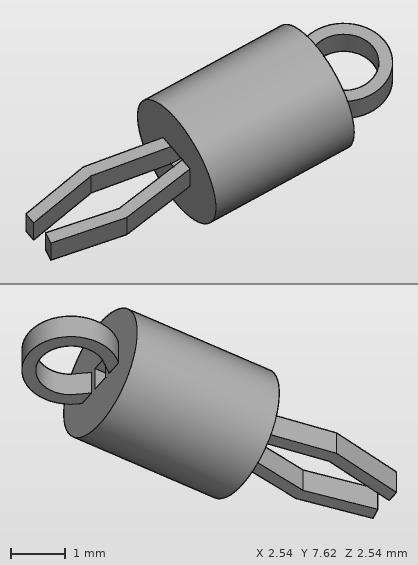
import cadquery as cq
import math

body_diameter = 2.54
body_length = 3.05
back_y = body_length / 2
front_y = -body_length / 2

strip_width = 0.25
strip_height = 0.52

eyelet_rise = 1.525
eyelet_outer_radius = 0.89
eyelet_inner_radius = eyelet_outer_radius - strip_width
eyelet_center_y = back_y + eyelet_rise - eyelet_outer_radius
eyelet_throat_half_gap = 0.305
inner_arc_end_angle = math.radians(31)

leg_length = 3.05
bend_distance = 1.58
leg_root_inner_x = 0.18
leg_bend_inner_x = 0.45
leg_tip_inner_x = 0.15
square_tip_rise = 0.05


def extrude_strip(outline):
    return outline.close().extrude(strip_height / 2, both=True)


def make_body():
    """Cylinder with a straight slot through it, joining the leg gap to the eyelet."""
    cylinder = cq.Workplane("XZ", origin=(0, back_y, 0)).circle(body_diameter / 2).extrude(body_length)
    slot = cq.Workplane("XY").box(2 * leg_root_inner_x, body_length, strip_height)
    return cylinder.cut(slot)


def make_eyelet():
    center_height = eyelet_center_y - back_y
    outer_foot_x = math.sqrt(eyelet_outer_radius**2 - center_height**2)
    inner_end_x = eyelet_inner_radius * math.cos(inner_arc_end_angle)
    inner_end_y = eyelet_center_y - eyelet_inner_radius * math.sin(inner_arc_end_angle)
    outline = (
        cq.Workplane("XY")
        .moveTo(-outer_foot_x, back_y)
        .threePointArc((0, back_y + eyelet_rise), (outer_foot_x, back_y))
        .lineTo(eyelet_throat_half_gap, back_y)
        .lineTo(inner_end_x, inner_end_y)
        .threePointArc((0, eyelet_center_y + eyelet_inner_radius), (-inner_end_x, inner_end_y))
        .lineTo(-eyelet_throat_half_gap, back_y)
    )
    return extrude_strip(outline)


def make_leg(side, tip_rise):
    """Bent leg on the given X side; tip_rise lifts the inner corner of its end."""
    bend_y = front_y - bend_distance
    tip_y = front_y - leg_length
    points = [
        (leg_root_inner_x, front_y),
        (leg_bend_inner_x, bend_y),
        (leg_tip_inner_x, tip_y + tip_rise),
        (leg_tip_inner_x + strip_width, tip_y),
        (leg_bend_inner_x + strip_width, bend_y),
        (leg_root_inner_x + strip_width, front_y),
    ]
    return extrude_strip(cq.Workplane("XY").polyline([(side * x, y) for x, y in points]))


left_leg = make_leg(side=-1, tip_rise=0)
right_leg = make_leg(side=1, tip_rise=square_tip_rise)
result = make_body().union(make_eyelet()).union(left_leg).union(right_leg)